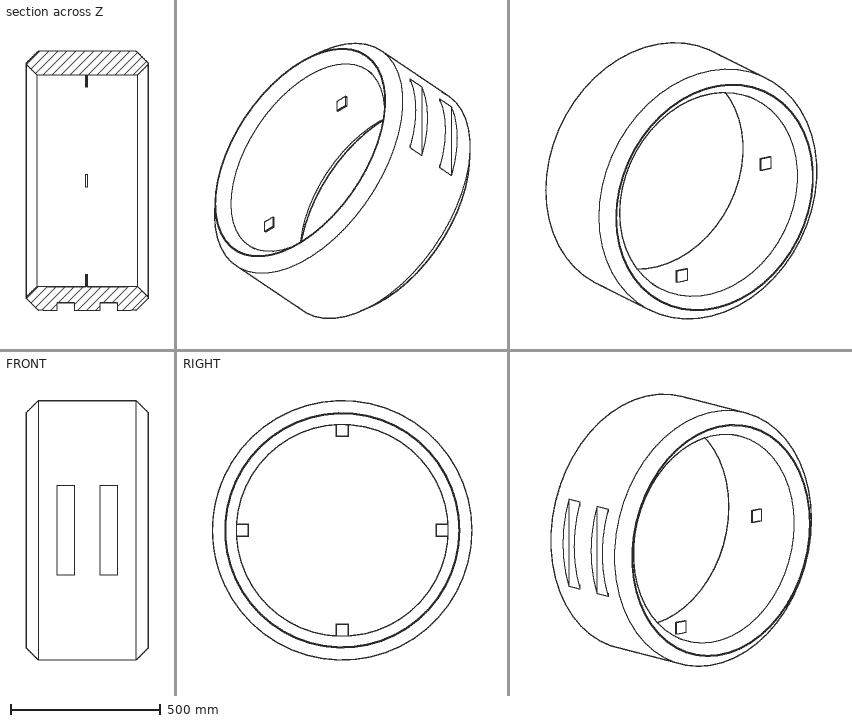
import cadquery as cq
import math

outer_radius = 435.5
bore_diameter = 710.0
bore_radius = bore_diameter / 2
ring_width = 410.0
half_width = ring_width / 2
outer_chamfer = 41.0
end_land = 3.5
inner_bevel_length = 37.0

slot_width = 57.5
slot_spacing = 145.0
slot_length = 300.0

tab_count = 4
tab_width = 41.0
tab_height = 40.0
tab_thickness = 5.0
tab_root = 9.0
tab_x = -tab_thickness / 2


def make_ring():
    rim_outer_radius = outer_radius - outer_chamfer
    rim_inner_radius = rim_outer_radius - end_land
    profile = [
        (-half_width, rim_inner_radius),
        (-half_width, rim_outer_radius),
        (-half_width + outer_chamfer, outer_radius),
        (half_width - outer_chamfer, outer_radius),
        (half_width, rim_outer_radius),
        (half_width, rim_inner_radius),
        (half_width - inner_bevel_length, bore_radius),
        (-half_width + inner_bevel_length, bore_radius),
    ]
    return cq.Workplane("XY").polyline(profile).close().revolve(360, (0, 0, 0), (1, 0, 0))


def make_slot(x):
    floor_distance = math.sqrt(outer_radius**2 - (slot_length / 2) ** 2)
    cut_depth = outer_radius - floor_distance
    cutter = cq.Workplane("XY").box(slot_width, cut_depth, slot_length, centered=(True, False, True))
    return cutter.translate((x, -outer_radius, 0))


def make_tab(angle):
    tab = cq.Workplane("XY").box(
        tab_thickness, tab_width, tab_height + tab_root, centered=(True, True, False)
    )
    return tab.translate((tab_x, 0, bore_radius - tab_height)).rotate((0, 0, 0), (1, 0, 0), angle)


result = make_ring()
for side in (-1, 1):
    result = result.cut(make_slot(side * slot_spacing / 2))
for index in range(tab_count):
    result = result.union(make_tab(index * 360 / tab_count))